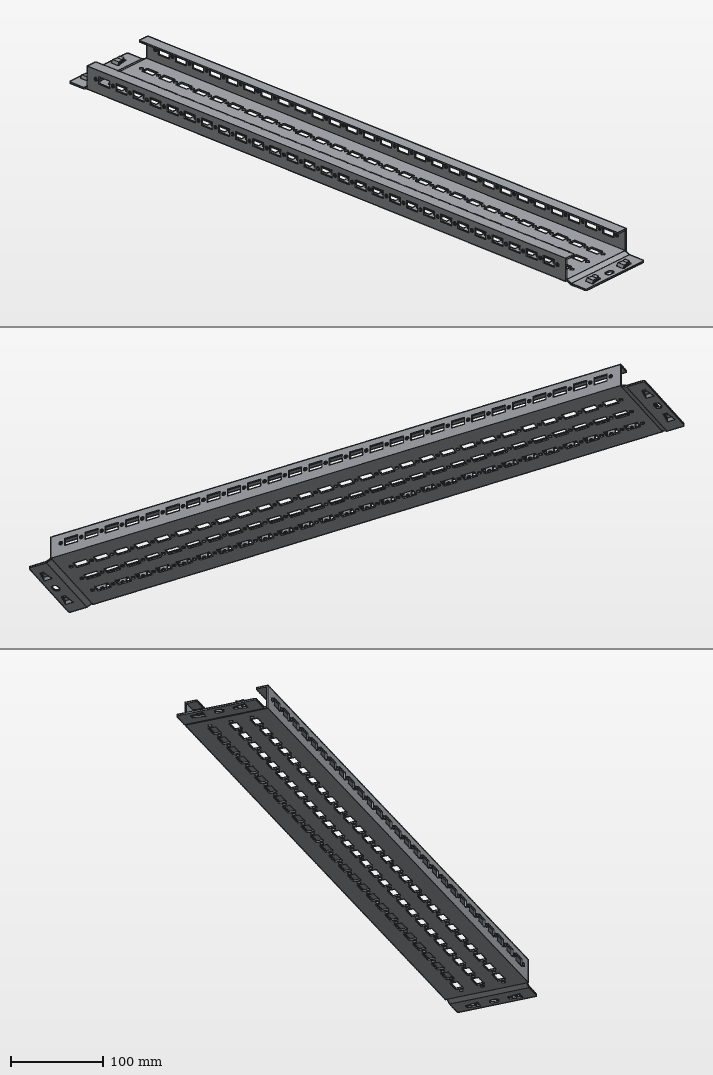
import math

import cadquery as cq

total_length = 756.0
channel_length = 700.0
channel_width = 98.5
total_height = 31.0
sheet = 2.0

floor_rise = 2.75
floor_top = floor_rise + sheet
lip_width = 14.0
lip_corner = 1.0
mouth_width = channel_width - 2 * lip_width

pitch = 25.0
slot_count = 27
slot_length = 16.0
slot_width = 9.0
slot_corner = 0.5
hole_diameter = 4.25
floor_rows = (-25.0, 0.0, 25.0)
wall_row_height = 19.0

plate_width = channel_width - 2 * sheet
plate_corner = 2.0
step_run = 6.5
channel_end = channel_length / 2
plate_end = total_length / 2

opening_line = plate_end - 8.5
oblong_width = 7.0
oblong_length = 11.0

hook_centres = (-25.0, 25.0)
hook_root = -8.0
hook_shelf_end = 0.5
hook_tip = 3.5
hook_opening_end = 8.0
hook_root_width = 10.0
hook_taper = math.radians(10)
hook_root_slope = math.radians(60)
hook_tip_slope = math.radians(25)
hook_shelf_rise = 3.5
hook_anchor = 1.0


def bent_sheet(top_points):
    """Closed outline of sheet of even thickness below a bent line that runs left to right."""
    slopes = [math.atan2(b[1] - a[1], b[0] - a[0]) for a, b in zip(top_points, top_points[1:])]
    slopes_before = slopes[:1] + slopes
    slopes_after = slopes + slopes[-1:]
    bottom_points = []
    for (u, v), before, after in zip(top_points, slopes_before, slopes_after):
        mitre = (before + after) / 2
        depth = sheet / math.cos((after - before) / 2)
        bottom_points.append((u + depth * math.sin(mitre), v - depth * math.cos(mitre)))
    return top_points + bottom_points[::-1]


def channel_bar(width, bottom, top):
    """Bar as long as the channel, centred on it, between two heights."""
    bar = cq.Workplane("XY").workplane(offset=bottom).rect(channel_length, width)
    return bar.extrude(top - bottom)


def make_channel():
    inner_width = channel_width - 2 * sheet
    lip_bottom = total_height - sheet
    outer = channel_bar(channel_width, floor_rise, total_height)
    inner = channel_bar(inner_width, floor_top, lip_bottom)
    mouth = channel_bar(mouth_width, lip_bottom, total_height)
    channel = outer.cut(inner).cut(mouth)
    reach = total_length / 2
    lip_zone = cq.selectors.BoxSelector(
        (-reach, -channel_width / 2 + sheet, lip_bottom),
        (reach, channel_width / 2 - sheet, total_height),
    )
    return channel.edges("|Z").edges(lip_zone).fillet(lip_corner)


def perforation_row(plane, row_position, depth):
    """Cutter for one row of slots and holes, reaching equally to both sides of the plane."""
    row = cq.Workplane(plane).center(0, row_position)
    slots = row.rarray(pitch, 1, slot_count, 1).rect(slot_length, slot_width)
    slots = slots.extrude(depth, both=True)
    slot_corners = slots.edges("|Z" if plane == "XY" else "|Y")
    holes = row.rarray(pitch, 1, slot_count + 1, 1).circle(hole_diameter / 2)
    return slot_corners.fillet(slot_corner), holes.extrude(depth, both=True)


def perforate(channel):
    rows = [perforation_row("XY", y, floor_top + sheet) for y in floor_rows]
    rows.append(perforation_row("XZ", wall_row_height, channel_width))
    for slots, holes in rows:
        channel = channel.cut(slots).cut(holes)
    return channel


def make_blank_plate():
    """Plain end plate at the +X end, with the sloped strip joined into the channel floor."""
    top_line = [
        (channel_end - sheet, floor_top),
        (channel_end, floor_top),
        (channel_end + step_run, sheet),
        (plate_end, sheet),
    ]
    outline = cq.Workplane("XZ").polyline(bent_sheet(top_line)).close()
    plate = outline.extrude(plate_width / 2, both=True)
    return plate.edges("|Z").edges(">X").fillet(plate_corner)


def tapered_block(end, height):
    """Block with the tongue's tapered plan, from the hook root to the given position."""
    end_width = hook_root_width - 2 * (end - hook_root) * math.tan(hook_taper)
    plan = [
        (-hook_root_width / 2, hook_root),
        (hook_root_width / 2, hook_root),
        (end_width / 2, end),
        (-end_width / 2, end),
    ]
    return cq.Workplane("XY").polyline(plan).close().extrude(height)


def make_hook():
    """Tongue that climbs steeply from its root, runs level as a shelf and lifts at the tip."""
    shelf_height = sheet + hook_shelf_rise
    shelf_start = hook_root + hook_shelf_rise / math.tan(hook_root_slope)
    tip_height = shelf_height + (hook_tip - hook_shelf_end) * math.tan(hook_tip_slope)
    top_line = [
        (hook_root - hook_anchor, sheet),
        (hook_root, sheet),
        (shelf_start, shelf_height),
        (hook_shelf_end, shelf_height),
        (hook_tip, tip_height),
    ]
    outline = cq.Workplane("YZ").polyline(bent_sheet(top_line)).close()
    strip = outline.extrude(hook_root_width / 2, both=True)
    return strip.intersect(tapered_block(hook_opening_end, total_height))


def make_end_plate():
    plate = make_blank_plate()
    oblong = cq.Workplane("XY").center(opening_line, 0).slot2D(oblong_length, oblong_width, 90)
    plate = plate.cut(oblong.extrude(sheet))
    hook_opening = tapered_block(hook_opening_end, sheet)
    hook = make_hook()
    for y in hook_centres:
        place = (opening_line, y, 0)
        plate = plate.cut(hook_opening.translate(place)).union(hook.translate(place))
    return plate


end_plate = make_end_plate()
result = perforate(make_channel()).union(end_plate).union(end_plate.mirror("YZ"))